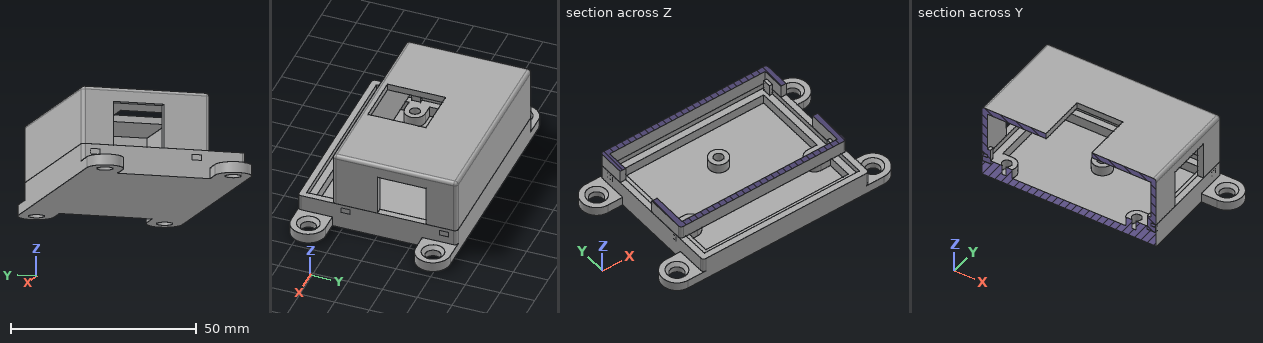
import cadquery as cq

box_width = 56.0
base_depth = 46.0
base_height = 7.7
lid_depth = 35.95
overall_height = 23.6
wall = 1.9
edge_radius = 1.0

floor_thickness = 3.0
ledge_width = 2.1
ledge_top = 6.0

overall_width = 76.0
ear_width = 10.0
ear_thickness = 3.0
ear_radius = ear_width / 2
ear_hole_diameter = 4.3
countersink_diameter = 6.4
countersink_depth = 1.1

standoff_diameter = 6.0
standoff_hole_diameter = 2.9
side_standoff_x = 20.8
side_standoff_y = 15.05
middle_standoff_y = 30.25

side_opening_width = 14.05
side_opening_height = 12.0
side_opening_y = 30.0
window_width = 14.7
window_front = 12.3
window_depth = 16.7

tab_width = 2.6
nub_bottom = 4.95
nub_height = 1.5
nub_skin = 0.3
tongue_thickness = 1.0
tongue_overlap = 2.0
tab_centres_y = (13.7, 42.1)

half_width = box_width / 2
inner_half_width = half_width - wall
lid_front = base_depth - lid_depth
ear_centre_x = overall_width / 2 - ear_radius
ear_centres_y = (ear_radius, base_depth - ear_radius)


def block(x_range, y_range, z_range):
    """Axis-aligned block between the given limits."""
    size = [high - low for low, high in (x_range, y_range, z_range)]
    corner = (x_range[0], y_range[0], z_range[0])
    return cq.Workplane("XY").box(*size, centered=False).translate(corner)


def inset_block(inset, y_range, z_range):
    """Block set in by the same amount from both sides and both ends of the box outline."""
    x_limit = half_width - inset
    return block((-x_limit, x_limit), (y_range[0] + inset, y_range[1] - inset), z_range)


def make_snap_tab(side, centre_y):
    """Tongue and outward nub on one side wall; also the shape of the recess that takes them."""
    y_range = (centre_y - tab_width / 2, centre_y + tab_width / 2)
    tongue_x = sorted((side * (inner_half_width - tongue_thickness), side * inner_half_width))
    nub_x = sorted((side * inner_half_width, side * (half_width - nub_skin)))
    tongue = block(tongue_x, y_range, (nub_bottom, base_height + tongue_overlap))
    nub = block(nub_x, y_range, (nub_bottom, nub_bottom + nub_height))
    return tongue.union(nub)


def make_snap_tabs():
    """The four snap tabs, two on each side wall."""
    return [make_snap_tab(side, y) for side in (-1, 1) for y in tab_centres_y]


def make_ear_strip(centre_y):
    """Round-ended strip across the base; its two ends are the mounting ears."""
    return (
        cq.Workplane("XY")
        .center(0, centre_y)
        .slot2D(overall_width, ear_width)
        .extrude(ear_thickness)
    )


def make_post(x, y):
    """Solid cylinder from the floor up to the level of the ledge."""
    return (
        cq.Workplane("XY", origin=(x, y, floor_thickness))
        .circle(standoff_diameter / 2)
        .extrude(ledge_top - floor_thickness)
    )


def make_side_standoff(side):
    """Standoff joined to the side ledge by a rib of the same width."""
    rib_x = sorted((side * side_standoff_x, side * inner_half_width))
    radius = standoff_diameter / 2
    rib_y = (side_standoff_y - radius, side_standoff_y + radius)
    rib = block(rib_x, rib_y, (floor_thickness, ledge_top))
    return make_post(side * side_standoff_x, side_standoff_y).union(rib)


def make_screw_holes():
    """Screw holes of the standoffs, from their tops down to the floor."""
    points = [(0, middle_standoff_y)]
    points += [(side * side_standoff_x, side_standoff_y) for side in (-1, 1)]
    return (
        cq.Workplane("XY", origin=(0, 0, floor_thickness))
        .pushPoints(points)
        .circle(standoff_hole_diameter / 2)
        .extrude(ledge_top - floor_thickness)
    )


def make_ear_hole(x, y):
    """Through hole with a conical countersink at the top of the ear."""
    radius = ear_hole_diameter / 2
    hole = cq.Workplane("XY", origin=(x, y, 0)).circle(radius).extrude(ear_thickness)
    countersink = (
        cq.Workplane("XY", origin=(x, y, ear_thickness - countersink_depth))
        .circle(radius)
        .workplane(offset=countersink_depth)
        .circle(countersink_diameter / 2)
        .loft(ruled=True)
    )
    return hole.union(countersink)


def make_base():
    """Open tray with mounting ears, board ledge and standoffs."""
    full_y = (0, base_depth)
    base = inset_block(0, full_y, (0, base_height)).edges("|Z").fillet(edge_radius)
    for y in ear_centres_y:
        base = base.union(make_ear_strip(y))

    base = base.cut(inset_block(wall, full_y, (ledge_top, base_height)))
    base = base.cut(inset_block(wall + ledge_width, full_y, (floor_thickness, base_height)))

    for side in (-1, 1):
        base = base.union(make_side_standoff(side))
    base = base.union(make_post(0, middle_standoff_y))
    base = base.cut(make_screw_holes())

    for side in (-1, 1):
        for y in ear_centres_y:
            base = base.cut(make_ear_hole(side * ear_centre_x, y))

    for tab in make_snap_tabs():
        base = base.cut(tab)
    return base


def make_lid():
    """Hollow cover, open below, that snaps onto the rear part of the base."""
    lid_y = (lid_front, base_depth)
    lid = inset_block(0, lid_y, (base_height, overall_height))
    lid = lid.edges("|Z or >Z").fillet(edge_radius)
    lid = lid.cut(inset_block(wall, lid_y, (base_height, overall_height - wall)))

    opening_y = (side_opening_y - side_opening_width / 2, side_opening_y + side_opening_width / 2)
    opening_z = (base_height, base_height + side_opening_height)
    lid = lid.cut(block((-half_width, half_width), opening_y, opening_z))

    window_x = (-window_width / 2, window_width / 2)
    window_y = (window_front, window_front + window_depth)
    lid = lid.cut(block(window_x, window_y, (overall_height - wall, overall_height)))

    for tab in make_snap_tabs():
        lid = lid.union(tab)
    return lid


base = make_base()
lid = make_lid()

result = cq.Compound.makeCompound([base.solids().val(), lid.solids().val()])